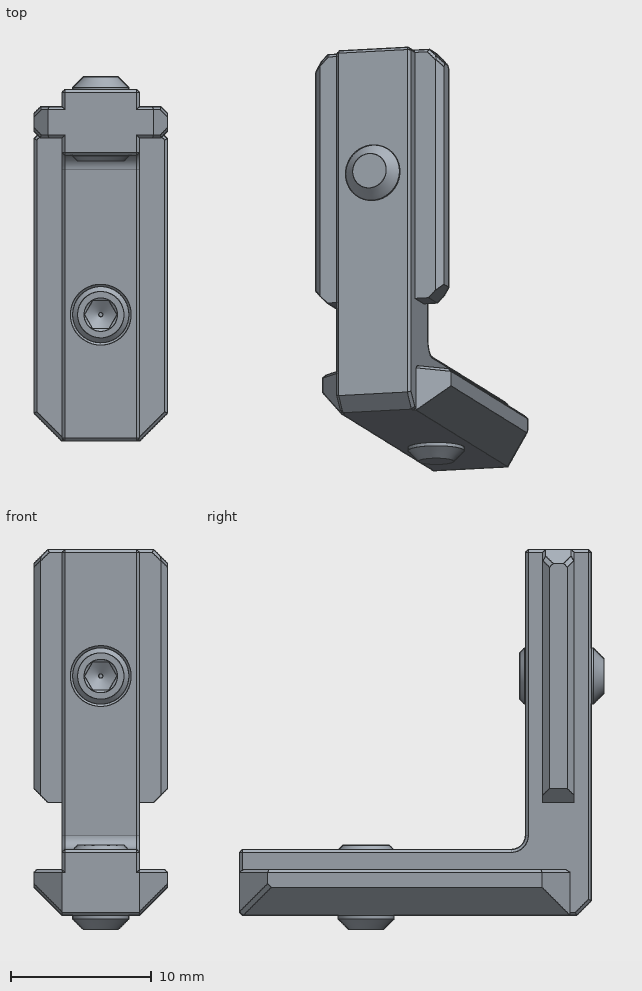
import cadquery as cq
import math


overall_length = 25.9
overall_height = 27.0

leg_length = 25.0
leg_height = 26.0
core_width = 5.5
core_thickness = 4.7
inner_radius = 1.0
outer_corner_cut = 1.05
edge_chamfer = 0.22

wing_span = 9.5

upright_wing_thickness = 2.25
upright_wing_length = 17.98
upright_wing_end_cut = 1.0
upright_wing_edge_cut = 0.49

flat_wing_height = 3.27
flat_wing_length = 23.5
flat_wing_cut = (wing_span - core_width) / 2

selection_margin = 0.27

screw_diameter = 4.0
screw_length = 6.0
screw_inset = 9.0
drive_end_diameter = 3.3
point_end_diameter = 2.48
upright_screw_point_out = overall_length - leg_length
flat_screw_point_out = overall_height - leg_height
socket_flats = 2.0
socket_mouth_diameter = 2.38
socket_depth = 1.0
socket_tip_diameter = 0.3
socket_cone_angle = 120.0
hole_mouth_diameter = 4.32


def core():
    """L-shaped bar with bevelled side edges and free ends."""
    profile = (
        cq.Workplane("YZ")
        .polyline([
            (-leg_length, 0),
            (-outer_corner_cut, 0),
            (0, outer_corner_cut),
            (0, leg_height),
            (-core_thickness, leg_height),
            (-core_thickness, core_thickness),
            (-leg_length, core_thickness),
        ])
        .close()
        .extrude(core_width / 2, both=True)
    )
    inner_edge = cq.selectors.NearestToPointSelector((0, -core_thickness, core_thickness))
    rounded = profile.edges("|X").edges(inner_edge).fillet(inner_radius)
    outline = rounded.faces("<X or >X").edges()
    ends = rounded.faces(">Z or <Y").edges("|X")
    return outline.add(ends).chamfer(edge_chamfer)


def upright_wing():
    """Bar across the vertical leg, ending flush with its top."""
    bar = (
        cq.Workplane("XY", origin=(0, -core_thickness / 2, leg_height - upright_wing_length))
        .rect(wing_span, upright_wing_thickness)
        .extrude(upright_wing_length)
        .edges("|Y").chamfer(upright_wing_end_cut)
        .faces("<X or >X").edges("|Z").chamfer(upright_wing_edge_cut)
    )
    upper_zone = cq.selectors.BoxSelector(
        (-wing_span, -core_thickness, leg_height - 2 * upright_wing_end_cut),
        (wing_span, 0, leg_height + selection_margin),
    )
    return bar.edges(upper_zone).edges("not |Y").edges("not |Z").chamfer(edge_chamfer)


def flat_wing():
    """Wide lower part of the horizontal leg, tapering down to the core width at its underside."""
    plan = (
        cq.Workplane("XY", origin=(0, -leg_length + flat_wing_length / 2, 0))
        .rect(wing_span, flat_wing_length)
        .extrude(flat_wing_height)
        .edges("|Z").chamfer(flat_wing_cut)
    )
    section = (
        cq.Workplane("XZ")
        .polyline([
            (-core_width / 2, 0),
            (core_width / 2, 0),
            (wing_span / 2, flat_wing_cut),
            (wing_span / 2, flat_wing_height),
            (-wing_span / 2, flat_wing_height),
            (-wing_span / 2, flat_wing_cut),
        ])
        .close()
        .extrude(leg_length)
    )
    wing = plan.intersect(section)
    rim = wing.faces(">Z").edges()
    free_end = cq.selectors.BoxSelector(
        (-wing_span, -leg_length - selection_margin, -selection_margin),
        (wing_span, -leg_length + flat_wing_cut, flat_wing_cut),
    )
    end_edges = wing.edges(free_end).edges("not |Z").edges("not |Y")
    return rim.add(end_edges).chamfer(edge_chamfer)


def turned_body(points):
    """Solid of revolution about Z from a closed outline of (radius, height) points."""
    return cq.Workplane("XZ").polyline(points).close().revolve(360, (0, 0), (0, 1))


def screw():
    """Set screw along +Z, with its point at Z = 0 and its hex socket at the far end."""
    radius = screw_diameter / 2
    point_radius = point_end_diameter / 2
    drive_radius = drive_end_diameter / 2
    body = turned_body([
        (0, 0),
        (point_radius, 0),
        (radius, radius - point_radius),
        (radius, screw_length - (radius - drive_radius)),
        (drive_radius, screw_length),
        (0, screw_length),
    ])
    return body.cut(socket())


def socket():
    """Hexagonal socket with a conical floor and a countersunk mouth."""
    corner_radius = socket_flats / math.sqrt(3)
    tip_radius = socket_tip_diameter / 2
    mouth_radius = socket_mouth_diameter / 2
    cone_slope = math.tan(math.radians(socket_cone_angle / 2))
    floor = screw_length - socket_depth
    tip = floor - (corner_radius - tip_radius) / cone_slope
    hexagon = (
        cq.Workplane("XY", origin=(0, 0, tip))
        .polygon(6, 2 * corner_radius)
        .extrude(screw_length - tip)
    )
    drill = turned_body([
        (0, tip),
        (tip_radius, tip),
        (corner_radius, floor),
        (corner_radius, screw_length),
        (0, screw_length),
    ])
    mouth = turned_body([
        (0, screw_length - mouth_radius / cone_slope),
        (mouth_radius, screw_length),
        (0, screw_length),
    ])
    return hexagon.intersect(drill).union(mouth)


def screw_hole():
    """Hole for a screw that starts at Z = 0, countersunk where it leaves the inner face of a leg."""
    radius = screw_diameter / 2
    mouth_radius = hole_mouth_diameter / 2
    return turned_body([
        (0, 0),
        (radius, 0),
        (radius, core_thickness - (mouth_radius - radius)),
        (mouth_radius, core_thickness),
        (0, core_thickness),
    ])


def on_upright_leg(tool, point_out):
    """Turn a Z-axis body so that it points toward -Y, and set it point_out behind the vertical leg."""
    turned = tool.rotate((0, 0, 0), (1, 0, 0), 90)
    return turned.translate((0, point_out, leg_height - screw_inset))


def on_flat_leg(tool, point_out):
    """Set a Z-axis body upright in the horizontal leg, point_out below its underside."""
    return tool.translate((0, screw_inset - leg_length, -point_out))


bracket = (
    core()
    .union(upright_wing())
    .union(flat_wing())
    .cut(on_upright_leg(screw_hole(), 0))
    .cut(on_flat_leg(screw_hole(), 0))
)
screws = [
    on_upright_leg(screw(), upright_screw_point_out),
    on_flat_leg(screw(), flat_screw_point_out),
]

result = cq.Compound.makeCompound([bracket.val(), *[body.val() for body in screws]])